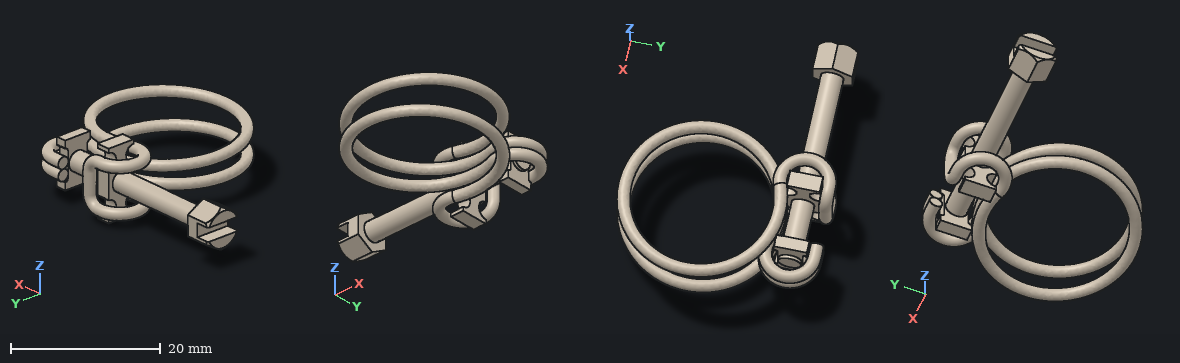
import cadquery as cq
import math


wire_radius = 0.905
coil_radius = 10.5

hook_radius = 3.33
hook_x = 4.7
hook_y = math.sqrt((coil_radius + hook_radius) ** 2 - hook_x ** 2)
staple_z = 3.47
hook_end_z = wire_radius
hook_tail = 1.85
staple_tail = 0.48
staple_bend_radius = 1.77

overall_length = 36.95
bolt_rise = 0.15
bolt_y = hook_y + bolt_rise
shaft_radius = 1.55
shaft_end_x = 5.7
head_length = 4.03
head_flats = 5.47
head_face_radius = 2.7
slot_depth = 2.1
slot_width = 2.07
head_x = coil_radius + wire_radius - overall_length

plate_width = 4.5
near_plate_x = -5.17
near_plate_thickness = 2.2
near_plate_height = 11.0
near_groove_radius = 1.35
far_plate_x = 3.5
far_plate_thickness = 1.7
far_plate_height = 7.4
far_groove_depth = 0.5
far_groove_height = 4.95
far_groove_corner_radius = 0.48

joint_angle = math.atan2(hook_y, hook_x)
coil_start_angle = math.pi - joint_angle
coil_sweep_angle = 2 * math.pi + coil_start_angle - joint_angle


def circle_point(center_x, center_y, radius, angle, z):
    """Point at an angle on a level circle."""
    return cq.Vector(center_x + radius * math.cos(angle), center_y + radius * math.sin(angle), z)


def sweep_wire(edges):
    """Round wire along connected, tangent edges, swept edge by edge and joined."""
    wire = cq.Workplane()
    for edge in edges:
        section = cq.Plane(origin=edge.startPoint(), normal=edge.tangentAt(0))
        path = cq.Workplane(cq.Wire.assembleEdges([edge]))
        wire = wire.add(cq.Workplane(section).circle(wire_radius).sweep(path))
    return wire.combine()


def make_coil():
    """Upper coil: from the staple down a little over one turn, then a hook round the far plate."""
    rise = staple_z - hook_end_z
    pitch = rise * 2 * math.pi / coil_sweep_angle
    helix = cq.Wire.makeHelix(pitch, rise, coil_radius)
    turn = (
        cq.Workplane("XZ")
        .center(coil_radius, 0)
        .circle(wire_radius)
        .sweep(cq.Workplane(helix), isFrenet=True)
        .rotate((0, 0, 0), (0, 0, 1), math.degrees(joint_angle))
        .translate((0, 0, hook_end_z))
    )

    hook_start = circle_point(0, 0, coil_radius, joint_angle, hook_end_z)
    hook_side = cq.Vector(hook_x + hook_radius, hook_y, hook_end_z)
    hook_top = cq.Vector(hook_x, hook_y + hook_radius, hook_end_z)
    hook = cq.Edge.makeThreePointArc(hook_start, hook_side, hook_top)
    tail = cq.Edge.makeLine(hook_top, hook_top - cq.Vector(hook_tail, 0, 0))
    return turn.union(sweep_wire([hook, tail]))


def make_staple():
    """Wire with an upper and a lower hook, joined by a vertical run beyond the near plate."""
    bridge_y = hook_y + hook_radius
    bend_x = -hook_x + staple_tail
    bridge_x = bend_x + staple_bend_radius
    bridge_z = staple_z - staple_bend_radius
    bend_middle = staple_bend_radius * math.sin(math.pi / 4)

    def hook_edges(side):
        """Upper (1) or lower (-1) hook, with its straight tail and bend, from the coil to the bridge."""
        z = side * staple_z
        joint = circle_point(0, 0, coil_radius, coil_start_angle, z)
        hook_side = cq.Vector(-hook_x - hook_radius, hook_y, z)
        hook_top = cq.Vector(-hook_x, bridge_y, z)
        bend_start = cq.Vector(bend_x, bridge_y, z)
        bend_mid = cq.Vector(bend_x + bend_middle, bridge_y, side * (bridge_z + bend_middle))
        bend_end = cq.Vector(bridge_x, bridge_y, side * bridge_z)
        return [
            cq.Edge.makeThreePointArc(joint, hook_side, hook_top),
            cq.Edge.makeLine(hook_top, bend_start),
            cq.Edge.makeThreePointArc(bend_start, bend_mid, bend_end),
        ]

    upper = hook_edges(1)
    lower = hook_edges(-1)
    bridge = cq.Edge.makeLine(upper[-1].endPoint(), lower[-1].endPoint())
    return sweep_wire(upper + [bridge] + lower)


def bolt_section(x):
    """Work plane across the bolt axis, with local x along Y and local y along Z."""
    return cq.Workplane("YZ", origin=(x, bolt_y, 0))


def make_bolt():
    """Hex head with a chamfered end and a screwdriver slot, on a plain shaft."""
    head_corners = head_flats / math.cos(math.pi / 6)
    head = bolt_section(head_x).polygon(6, head_corners).extrude(head_length)
    head = head.rotate((0, bolt_y, 0), (1, bolt_y, 0), 90)
    chamfer_cone = cq.Workplane(
        cq.Solid.makeCone(
            head_face_radius,
            head_face_radius + head_length,
            head_length,
            pnt=cq.Vector(head_x, bolt_y, 0),
            dir=cq.Vector(1, 0, 0),
        )
    )
    head = head.intersect(chamfer_cone)
    slot = bolt_section(head_x).rect(head_flats, slot_width).extrude(slot_depth)
    shaft_start_x = head_x + head_length
    shaft = bolt_section(shaft_start_x).circle(shaft_radius).extrude(shaft_end_x - shaft_start_x)
    return head.cut(slot).union(shaft)


def plate_blank(x, thickness, height):
    """Rectangular plate with a close-fitting hole for the bolt."""
    blank = bolt_section(x).rect(plate_width, height).extrude(thickness)
    return blank.cut(bolt_section(x).circle(shaft_radius).extrude(thickness))


def make_near_plate():
    """Plate with a half-round groove beside each leg of the staple."""
    groove_centers = [(y * plate_width / 2, z * staple_z) for y in (-1, 1) for z in (-1, 1)]
    grooves = (
        bolt_section(near_plate_x)
        .pushPoints(groove_centers)
        .circle(near_groove_radius)
        .extrude(near_plate_thickness)
    )
    return plate_blank(near_plate_x, near_plate_thickness, near_plate_height).cut(grooves)


def make_far_plate():
    """Plate with one shallow round-cornered groove on each side for the pair of hooks."""
    grooves = (
        bolt_section(far_plate_x)
        .pushPoints([(-plate_width / 2, 0), (plate_width / 2, 0)])
        .rect(2 * far_groove_depth, far_groove_height)
        .extrude(far_plate_thickness)
        .edges("|X")
        .fillet(far_groove_corner_radius)
    )
    return plate_blank(far_plate_x, far_plate_thickness, far_plate_height).cut(grooves)


upper_coil = make_coil()
coils = [upper_coil, upper_coil.mirror("XY")]
bolt = make_bolt()
staple = make_staple()
near_plate = make_near_plate()
far_plate = make_far_plate()
for coil in coils:
    near_plate = near_plate.cut(coil)
    far_plate = far_plate.cut(coil)

result = cq.Compound.makeCompound(
    [bolt.val(), near_plate.val(), far_plate.val(), staple.val(), *[coil.val() for coil in coils]]
)